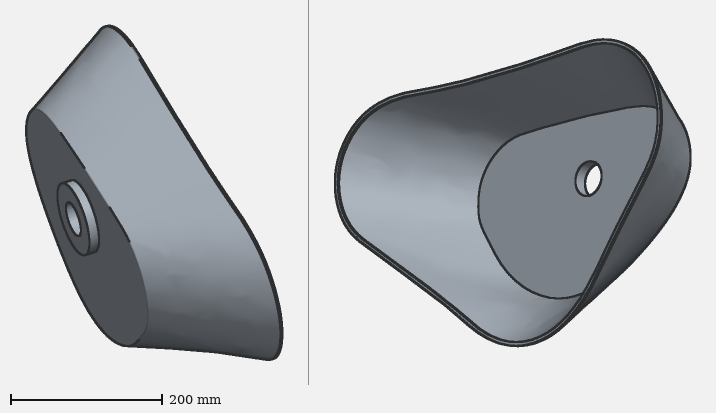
import cadquery as cq
import math

bowl_depth = 134.0
rim_band = 3.0
wall = 5.0
boss_height = 14.0
boss_diameter = 100.0
drain_diameter = 46.5
floor_edge_radius = 0.9

rim_points = [
    (4.5, 134.0), (64.0, 130.0), (152.0, 127.0), (227.0, 127.0), (289.0, 107.5), (332.0, 52.5),
    (333.5, 0.0), (311.0, -43.5), (270.5, -77.5), (202.5, -126.0), (124.5, -184.5),
    (73.0, -224.5), (9.0, -248.5), (-59.5, -238.5), (-113.5, -196.5), (-150.5, -146.0),
    (-203.5, -74.0), (-239.0, -17.0), (-242.0, 52.0), (-209.5, 111.5), (-148.5, 143.0),
    (-98.0, 144.0), (-56.5, 139.5),
]
floor_points = [
    (3.0, 91.0), (43.5, 89.0), (102.0, 86.0), (139.5, 80.0), (171.0, 63.0), (196.5, 27.5),
    (202.0, 0.0), (199.0, -28.5), (186.0, -54.0), (157.0, -98.5), (99.0, -145.0),
    (52.0, -160.0), (6.0, -159.0), (-36.0, -145.0), (-72.0, -125.0), (-106.0, -102.0),
    (-155.0, -56.5), (-177.0, -12.0), (-170.5, 36.0), (-139.0, 74.0), (-92.0, 89.0),
    (-61.0, 91.0), (-36.5, 91.0),
]


def inset_points(points, distance):
    """Move each point inward, square to the line joining its two neighbours."""
    moved = []
    for i, (x, z) in enumerate(points):
        x_before, z_before = points[i - 1]
        x_after, z_after = points[(i + 1) % len(points)]
        dx = x_after - x_before
        dz = z_after - z_before
        length = math.hypot(dx, dz)
        moved.append((x + distance * dz / length, z - distance * dx / length))
    return moved


def outline(points, y, inset):
    """Closed smooth wire through (X, Z) points at height y, moved inward by inset."""
    plane = cq.Plane(origin=(0, y, 0), xDir=(1, 0, 0), normal=(0, -1, 0))
    return cq.Workplane(plane).spline(inset_points(points, inset), periodic=True).wire().val()


def flared_body(lower, upper):
    return cq.Workplane(cq.Solid.makeLoft([lower, upper], True))


def prism(wire, height):
    return cq.Workplane(cq.Solid.extrudeLinear(wire, [], cq.Vector(0, height, 0)))


def cylinder(diameter, y_start, y_end):
    plane = cq.Plane(origin=(0, y_start, 0), xDir=(1, 0, 0), normal=(0, 1, 0))
    return cq.Workplane(plane).circle(diameter / 2).extrude(y_end - y_start)


def bowl(floor_y, inset):
    """Flared bowl shape ending in an upright band at the rim."""
    band_y = bowl_depth - rim_band
    rim_wire = outline(rim_points, band_y, inset)
    flare = flared_body(outline(floor_points, floor_y, inset), rim_wire)
    return flare.union(prism(rim_wire, rim_band))


outer = bowl(0, 0)
outer = outer.faces("<Y").edges().fillet(floor_edge_radius)
cavity = bowl(wall, wall)
boss = cylinder(boss_diameter, -boss_height, wall)
drain = cylinder(drain_diameter, -boss_height, wall)

result = outer.cut(cavity).union(boss).cut(drain)